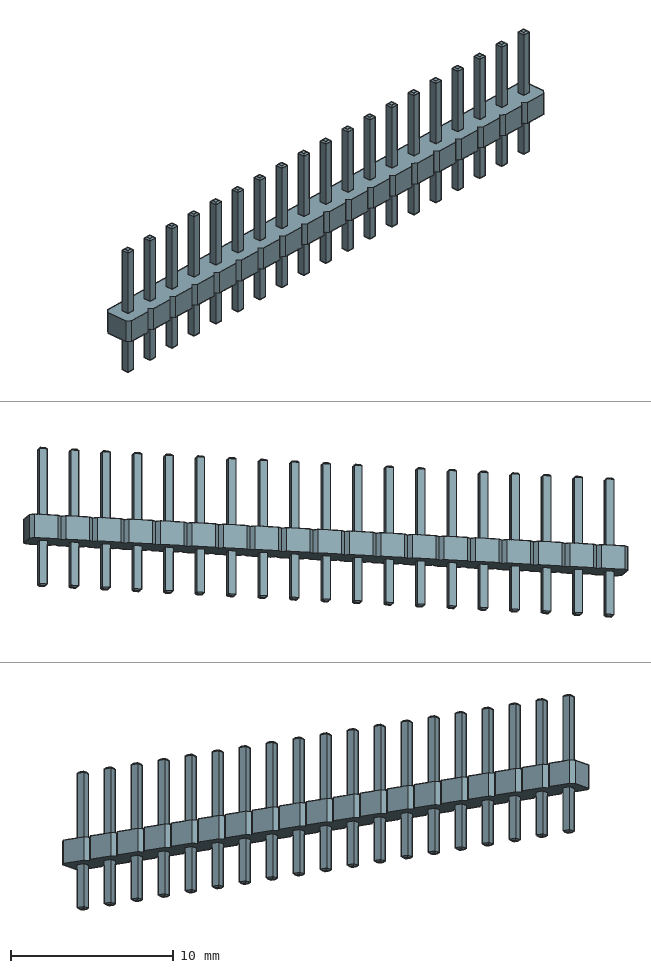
import cadquery as cq

row_length = 38.0
pin_count = 19
pitch = row_length / pin_count

body_width = pitch
body_height = 1.5
corner_bevel = pitch / 8

pin_width = pitch / 4
total_height = 8.7
lower_pin_length = 2.8
tip_bevel = 0.1


def make_cell():
    """Insulator block for one pin, resting on Z = 0."""
    block = cq.Workplane("XY").box(body_width, pitch, body_height, centered=(True, True, False))
    return block.edges("|Z").chamfer(corner_bevel)


def make_pin():
    """Square pin that reaches below and above the insulator."""
    pin = cq.Workplane("XY").box(pin_width, pin_width, total_height, centered=(True, True, False))
    pin = pin.faces("<Z or >Z").chamfer(tip_bevel)
    return pin.translate((0, 0, -lower_pin_length))


position = make_cell().union(make_pin())
first_position_y = -(row_length - pitch) / 2

result = position.translate((0, first_position_y, 0))
for index in range(1, pin_count):
    result = result.union(position.translate((0, first_position_y + index * pitch, 0)))
result = result.clean()